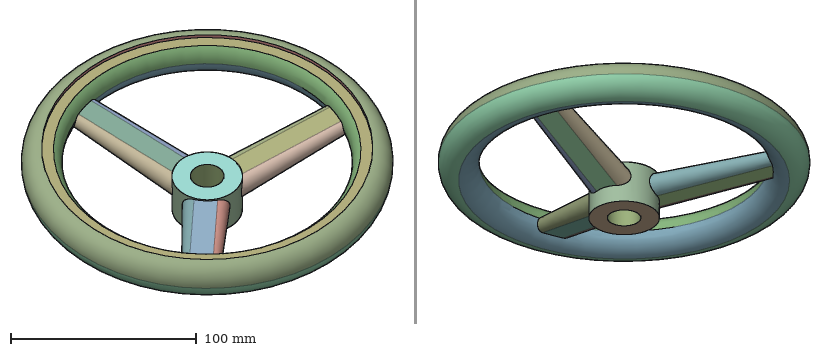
import cadquery as cq
import math

outer_diameter = 200.0
overall_height = 45.0
rim_section_radius = 11.0
rim_step_depth = 2.0

hub_diameter = 38.0
bore_diameter = 18.0
hub_height = 24.0

spoke_count = 3
first_spoke_angle = 90.0
spoke_flat_width = 12.7
spoke_inner_edge_radius = 7.0
spoke_outer_edge_radius = 4.0
spoke_start_height = 12.0

rim_radius = outer_diameter / 2 - rim_section_radius
rim_height = overall_height - rim_section_radius

spoke_rise = rim_height - spoke_start_height
spoke_length = math.hypot(rim_radius, spoke_rise)


def section_point(angle):
    """Point (radius, height) on the round rim section, angle in degrees from outward."""
    radius = rim_radius + rim_section_radius * math.cos(math.radians(angle))
    height = rim_height + rim_section_radius * math.sin(math.radians(angle))
    return (radius, height)


def make_rim():
    """Round section with its upper inner corner cut down to a flat, revolved about Z."""
    step_height = overall_height - rim_step_depth
    flat_edge_rise = math.asin((step_height - rim_height) / rim_section_radius)
    top, outer, bottom, inner = 90, 0, -90, -180
    flat_edge = inner - math.degrees(flat_edge_rise)
    corners = [top, outer, bottom, inner, flat_edge]
    section = cq.Workplane("XZ").moveTo(*section_point(top))
    for start, end in zip(corners, corners[1:]):
        section = section.threePointArc(section_point((start + end) / 2), section_point(end))
    section = section.lineTo(rim_radius, step_height).close()
    return section.revolve(360, (0, 0), (0, 1))


def make_hub():
    return cq.Workplane("XY").circle(hub_diameter / 2).extrude(hub_height)


def stadium_length(edge_radius):
    return spoke_flat_width + 2 * edge_radius


def make_spoke():
    """Spoke along +X, climbing from the wheel axis to the centre of the rim section."""
    section_plane = cq.Plane(
        origin=(0, 0, spoke_start_height),
        xDir=(0, 1, 0),
        normal=(rim_radius, 0, spoke_rise),
    )
    return (
        cq.Workplane(section_plane)
        .slot2D(stadium_length(spoke_inner_edge_radius), 2 * spoke_inner_edge_radius)
        .workplane(offset=spoke_length)
        .slot2D(stadium_length(spoke_outer_edge_radius), 2 * spoke_outer_edge_radius)
        .loft(ruled=True)
    )


def make_wheel():
    wheel = make_rim().union(make_hub(), clean=False)
    spoke = make_spoke()
    for index in range(spoke_count):
        angle = first_spoke_angle + index * 360 / spoke_count
        wheel = wheel.union(spoke.rotate((0, 0, 0), (0, 0, 1), angle), clean=False)
    bore = cq.Workplane("XY").circle(bore_diameter / 2).extrude(hub_height)
    return wheel.cut(bore, clean=False)


result = make_wheel()